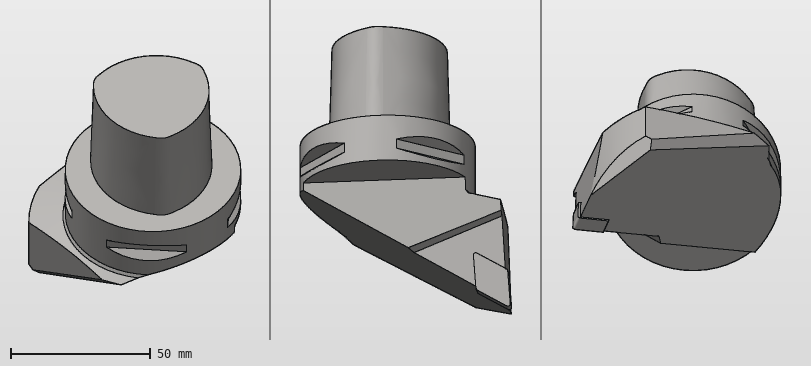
import cadquery as cq
import math

LARGE = 206.0

shank_height = 38.0
shank_taper = 1.6
lobe_radius = 23.4
side_radius = 20.8
blend_radius = 22.9
blend_angle = 8.1
lobe_count = 3

flange_radius = 31.5
flange_height = 17.3
neck_height = 22.0
groove_count = 4
groove_depth_radius = 28.0
groove_middle_z = -10.9
groove_floor_height = 3.5
groove_mouth_height = 7.8

collar_radius = 32.3
collar_z = -23.2
head_radius = 44.6
head_top_slope = 15.0
front_y = -34.4
overall_height = 103.0
head_bottom_z = shank_height - overall_height

insert_edge = 14.4
insert_thickness = 4.8
insert_nose_radius = 0.8
left_edge_angle = 87.0
lower_edge_angle = 31.0
nose = cq.Vector(-45.1, 0.3, -65.7)

rake_normal = cq.Vector(-0.098, 1, -0.1)

left_point = cq.Vector(-42.7, 6.8, -25.8)
left_normal = cq.Vector(-1, -0.106, 0.052)
back_point = cq.Vector(-30.7, 8.8, -flange_height)
back_normal = cq.Vector(-0.107, 1, -0.085)
underside_point = cq.Vector(-43.0, -12.9, -62.9)
underside_normal = cq.Vector(0.617, -0.03, -1)

chamfer_corner = (-25.8, -31.4, -52.0)
front_chamfer_points = [(-25.9, front_y, -48.6), (12.3, front_y, -24.4), chamfer_corner]
corner_chamfer_points = [(-28.3, front_y, -47.7), chamfer_corner, underside_point.toTuple()]

shoulder_points = [(-42.6, 6.6, -30.2), (-42.7, 3.8, -31.5), (-9.9, 8.8, -42.7)]


def polar(radius, angle):
    """Point at an angle in degrees from +X."""
    return (radius * math.cos(math.radians(angle)), radius * math.sin(math.radians(angle)))


def half_space(point, normal):
    """Block that fills the side of a plane that its normal points to."""
    plane = cq.Plane(origin=point, normal=normal)
    return cq.Workplane(plane).rect(2 * LARGE, 2 * LARGE).extrude(LARGE)


def downward_normal(points):
    """Normal of the plane through three points, on its -Z side."""
    first, second, third = [cq.Vector(*point) for point in points]
    normal = (second - first).cross(third - first)
    return normal if normal.z < 0 else normal * -1


def below_plane(points):
    return half_space(cq.Vector(*points[0]), downward_normal(points))


def make_shank():
    pitch = 360 / lobe_count
    outline = cq.Workplane("XY").moveTo(*polar(blend_radius, 90 - blend_angle))
    for lobe in range(lobe_count):
        corner = 90 + lobe * pitch
        corner_end = polar(blend_radius, corner + blend_angle)
        side_end = polar(blend_radius, corner + pitch - blend_angle)
        outline = outline.threePointArc(polar(lobe_radius, corner), corner_end)
        outline = outline.threePointArc(polar(side_radius, corner + pitch / 2), side_end)
    return outline.close().extrude(shank_height, taper=shank_taper)


def make_groove(angle):
    """Straight groove with flared sides, across the flange at an angle about Z."""
    depth = flange_radius - groove_depth_radius
    flare = (groove_mouth_height - groove_floor_height) / 2
    outer_half = groove_floor_height / 2 + 2 * flare
    outer_x = groove_depth_radius + 2 * depth
    profile = [
        (groove_depth_radius, groove_middle_z - groove_floor_height / 2),
        (outer_x, groove_middle_z - outer_half),
        (outer_x, groove_middle_z + outer_half),
        (groove_depth_radius, groove_middle_z + groove_floor_height / 2),
    ]
    groove = cq.Workplane("XZ").polyline(profile).close().extrude(flange_radius, both=True)
    return groove.rotate((0, 0, 0), (0, 0, 1), angle)


def make_flange():
    flange = cq.Workplane("XY").circle(flange_radius).extrude(-flange_height)
    for index in range(groove_count):
        flange = flange.cut(make_groove((index + 0.5) * 360 / groove_count))
    return flange


def make_head():
    """Turned neck, conical shoulder and cylinder, trimmed by the flat faces."""
    rim_z = collar_z - (head_radius - collar_radius) * math.tan(math.radians(head_top_slope))
    profile = [
        (0, -flange_height),
        (flange_radius, -flange_height),
        (flange_radius, -neck_height),
        (collar_radius, collar_z),
        (head_radius, rim_z),
        (head_radius, head_bottom_z),
        (0, head_bottom_z),
    ]
    head = cq.Workplane("XZ").polyline(profile).close().revolve(360, (0, 0), (0, 1))
    head = head.cut(half_space(left_point, left_normal))
    head = head.cut(half_space(cq.Vector(0, front_y, 0), cq.Vector(0, -1, 0)))
    head = head.cut(half_space(back_point, back_normal))
    head = head.cut(below_plane(front_chamfer_points))
    head = head.cut(below_plane(corner_chamfer_points))
    return head.cut(half_space(nose, rake_normal).intersect(below_plane(shoulder_points)))


def rake_direction(angle):
    """Unit vector in the rake face whose X and Z parts point at an angle above +X."""
    x, z = polar(1, angle)
    y = -(rake_normal.x * x + rake_normal.z * z) / rake_normal.y
    return cq.Vector(x, y, z).normalized()


def make_insert():
    """Rhombic plate with its upper face in the rake face."""
    lower_edge = rake_direction(lower_edge_angle)
    corner_angle = math.degrees(lower_edge.getAngle(rake_direction(left_edge_angle)))
    left_x, left_y = polar(insert_edge, -corner_angle)
    plane = cq.Plane(origin=nose, xDir=lower_edge, normal=rake_normal)
    outline = [(0, 0), (insert_edge, 0), (insert_edge + left_x, left_y), (left_x, left_y)]
    plate = cq.Workplane(plane).polyline(outline).close().extrude(-insert_thickness)
    return plate.edges(cq.selectors.ParallelDirSelector(plane.zDir)).fillet(insert_nose_radius)


insert = make_insert()

holder = make_shank().union(make_flange()).union(make_head())
holder = holder.cut(half_space(underside_point, underside_normal))
holder = holder.cut(insert)

result = cq.Compound.makeCompound([holder.val(), insert.val()])